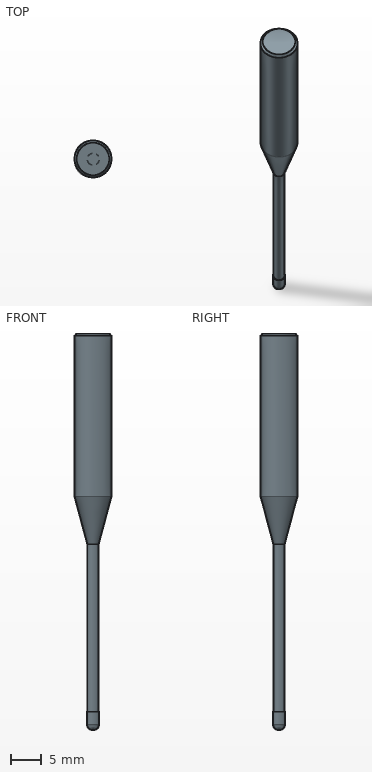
import cadquery as cq
import math

TOTAL_LENGTH = 64.0
SHANK_RADIUS = 6.0 / 2
CHAMFER = 0.4

NECK_RADIUS = 1.85 / 2
NECK_TOP = 30.0
TIP_RADIUS = 2.0 / 2
TIP_LENGTH = 3.0

TAPER_HALF_ANGLE = 15.0
TAPER_LENGTH = (SHANK_RADIUS - NECK_RADIUS) / math.tan(math.radians(TAPER_HALF_ANGLE))

BOTTOM_Z = -TOTAL_LENGTH / 2
TOP_Z = BOTTOM_Z + TOTAL_LENGTH
NECK_TOP_Z = BOTTOM_Z + NECK_TOP
TIP_TOP_Z = BOTTOM_Z + TIP_LENGTH


def make_shank():
    """Cylindrical shank with a chamfered top and a conical taper below."""
    taper_top_z = NECK_TOP_Z + TAPER_LENGTH
    profile = (
        cq.Workplane("XZ")
        .moveTo(0, NECK_TOP_Z)
        .lineTo(NECK_RADIUS, NECK_TOP_Z)
        .lineTo(SHANK_RADIUS, taper_top_z)
        .lineTo(SHANK_RADIUS, TOP_Z - CHAMFER)
        .lineTo(SHANK_RADIUS - CHAMFER, TOP_Z)
        .lineTo(0, TOP_Z)
        .close()
    )
    return profile.revolve(360, (0, 0, 0), (0, 1, 0))


def make_neck():
    """Slender rod between the tip and the shank taper."""
    neck_length = NECK_TOP_Z - TIP_TOP_Z
    return cq.Workplane("XY").workplane(offset=TIP_TOP_Z).circle(NECK_RADIUS).extrude(neck_length)


def make_tip():
    """Short cylinder ending in a hemispherical ball nose."""
    ball_center_z = BOTTOM_Z + TIP_RADIUS
    arc_offset = TIP_RADIUS * math.sqrt(0.5)
    profile = (
        cq.Workplane("XZ")
        .moveTo(0, BOTTOM_Z)
        .threePointArc((arc_offset, ball_center_z - arc_offset), (TIP_RADIUS, ball_center_z))
        .lineTo(TIP_RADIUS, TIP_TOP_Z)
        .lineTo(0, TIP_TOP_Z)
        .close()
    )
    return profile.revolve(360, (0, 0, 0), (0, 1, 0))


shank = make_shank()
neck = make_neck()
tip = make_tip()

result = cq.Compound.makeCompound([shank.val(), neck.val(), tip.val()])